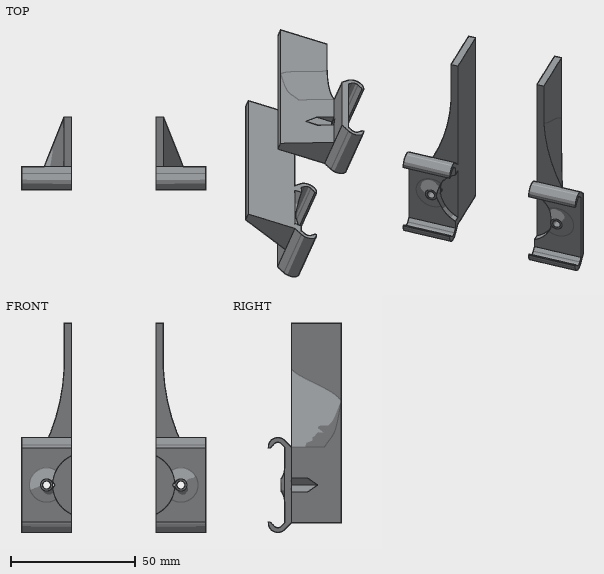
import cadquery as cq
import math

total_width = 74.0
total_height = 84.2
bracket_width = 20.05
inner_face_offset = total_width / 2 - bracket_width

plate_thickness = 2.8
plate_height = 30.5
lip_radius = 3.9
lip_overhang = 0.4
lip_arc_end = 0.8
plate_bottom = lip_radius
plate_top = plate_bottom + plate_height
plate_middle = (plate_bottom + plate_top) / 2

lip_center_y = -lip_radius * math.sqrt(2)
lip_inner_radius = (-lip_center_y - plate_thickness) / math.sqrt(2)

rib_thickness = 3.0
rib_depth = 20.05
gusset_width = 11.0

flare_top = 65.7
flare_middle_out = 5.1
flare_middle_height = 50.8
flare_back_profile = [
    (2.0, flare_top),
    (3.0, 53.0),
    (3.45, 39.4),
    (3.4, 36.4),
    (rib_thickness, plate_top),
]

screw_out = bracket_width / 2
hole_diameter = 3.2
boss_base_radius = 6.9
boss_top_radius = 2.45
boss_height = 1.4
boss_flank_run = boss_base_radius - boss_top_radius
boss_flank_radius = (boss_flank_run**2 + boss_height**2) / (2 * boss_height)
nut_across_flats = 5.6

clearance_radius = 12.9
clearance_center_out = -5.3


def lip_profile(workplane, plate_end, direction):
    """Draw one lip, curling away from the plate end in the given Z direction."""
    def point(center_distance_y, rise):
        return lip_center_y + center_distance_y, plate_end + direction * rise

    outer_tangent = lip_radius / math.sqrt(2)
    inner_tangent = lip_inner_radius / math.sqrt(2)
    inner_reach = lip_inner_radius * math.sqrt(2) + lip_overhang
    return (
        workplane
        .moveTo(0, plate_end)
        .lineTo(*point(outer_tangent, outer_tangent))
        .threePointArc(point(0, lip_radius), point(-outer_tangent, outer_tangent))
        .threePointArc(
            point(-lip_radius * math.cos(math.pi / 6), lip_radius * math.sin(math.pi / 6)),
            point(-math.sqrt(lip_radius**2 - lip_arc_end**2), lip_arc_end),
        )
        .lineTo(*point(-lip_radius, -lip_overhang))
        .lineTo(*point(-inner_reach, -lip_overhang))
        .lineTo(*point(-inner_tangent, inner_tangent))
        .threePointArc(point(0, lip_inner_radius), point(inner_tangent, inner_tangent))
        .lineTo(-plate_thickness, plate_end)
        .close()
    )


def make_clip():
    """Flat plate with a lip at the bottom and at the top."""
    clip = cq.Workplane("XY").box(
        bracket_width, plate_thickness, plate_height, centered=False
    ).translate((-bracket_width, -plate_thickness, plate_bottom))
    for plate_end, direction in ((plate_bottom, -1), (plate_top, 1)):
        lip = lip_profile(cq.Workplane("YZ"), plate_end, direction).extrude(-bracket_width)
        clip = clip.union(lip)
    return clip


def make_rib():
    """Upright rib standing behind the clip along the inner face."""
    return cq.Workplane("XY").box(
        rib_thickness, rib_depth, total_height - plate_bottom, centered=False
    ).translate((-rib_thickness, 0, plate_bottom))


def make_gusset(bottom, top):
    """Prism that narrows from the clip to the back of the rib."""
    return (
        cq.Workplane("XY", origin=(0, 0, bottom))
        .polyline([(0, 0), (-gusset_width, 0), (-rib_thickness, rib_depth), (0, rib_depth)])
        .close()
        .extrude(top - bottom)
    )


def make_flare():
    """Ruled surface between a front arc and a back curve, kept within the gusset."""
    front = (
        cq.Workplane("XZ")
        .moveTo(0, flare_top)
        .lineTo(-rib_thickness, flare_top)
        .threePointArc((-flare_middle_out, flare_middle_height), (-gusset_width, plate_top))
        .lineTo(0, plate_top)
        .close()
    )
    back_points = [(-out, height) for out, height in flare_back_profile]
    back = (
        cq.Workplane("XZ", origin=(0, rib_depth, 0))
        .moveTo(0, flare_top)
        .lineTo(*back_points[0])
        .spline(back_points[1:], includeCurrent=True)
        .lineTo(0, plate_top)
        .close()
    )
    ruled = cq.Solid.makeLoft([front.wire().val(), back.wire().val()], True)
    return cq.Workplane(ruled).intersect(make_gusset(plate_top, flare_top))


def make_boss():
    """Round boss with a concave flank on the front of the plate."""
    half_run = boss_flank_run / 2
    middle_height = boss_flank_radius - math.sqrt(boss_flank_radius**2 - half_run**2)
    return (
        cq.Workplane("XY")
        .moveTo(0, 0)
        .lineTo(boss_base_radius, 0)
        .threePointArc(
            (boss_base_radius - half_run, -middle_height), (boss_top_radius, -boss_height)
        )
        .lineTo(0, -boss_height)
        .close()
        .revolve(360, (0, 0), (0, 1))
        .translate((-screw_out, -plate_thickness, plate_middle))
    )


def make_cutters():
    """Screw hole and edge clearance through the clip, and nut channel behind it."""
    front_depth = plate_thickness + boss_height
    front_plane = cq.Workplane("XZ", origin=(0, 0, plate_middle))
    hole = front_plane.center(-screw_out, 0).circle(hole_diameter / 2).extrude(front_depth)
    clearance = (
        front_plane.center(-clearance_center_out, 0).circle(clearance_radius).extrude(front_depth)
    )
    nut_across_corners = nut_across_flats / math.cos(math.pi / 6)
    nut_channel = (
        front_plane.center(-screw_out, 0).polygon(6, nut_across_corners).extrude(-rib_depth)
    )
    return hole, clearance, nut_channel


def make_left_bracket():
    bracket = (
        make_clip()
        .union(make_rib())
        .union(make_gusset(plate_bottom, plate_top))
        .union(make_flare())
        .union(make_boss())
    )
    for cutter in make_cutters():
        bracket = bracket.cut(cutter)
    return bracket.translate((-inner_face_offset, 0, 0)).solids()


left_bracket = make_left_bracket()
right_bracket = left_bracket.mirror("YZ")

result = cq.Compound.makeCompound([left_bracket.val(), right_bracket.val()])